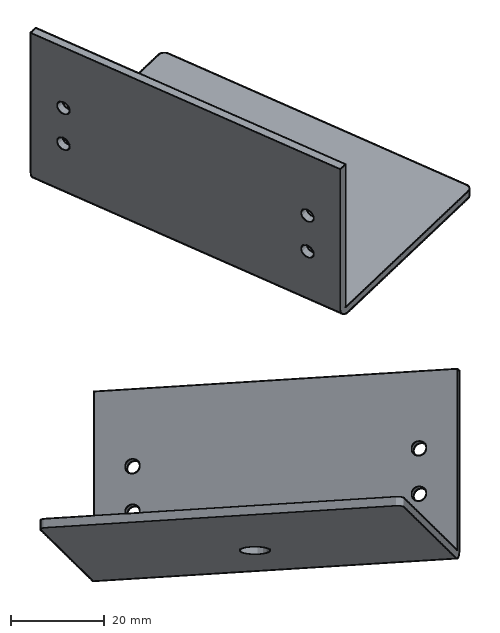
import cadquery as cq

length = 80.0
depth = 50.0
height = 42.0
sheet = 2.0

bend_radius = 3.0
corner_radius = 1.5

mount_diameter = 3.2
mount_spacing_x = 63.0
mount_spacing_z = 10.0
mount_center_z = 20.0

base_hole_diameter = 6.5
base_hole_y = 20.0


def angle_blank():
    """L-shaped sheet with a rounded outer bend and a sharp inner corner."""
    base = cq.Workplane("XY").box(length, depth, sheet, centered=(True, False, False))
    upright = cq.Workplane("XY").box(length, sheet, height, centered=(True, False, False))
    blank = base.union(upright)
    blank = blank.edges("|X and <Y and <Z").fillet(bend_radius)
    return blank.edges("|Z and >Y").fillet(corner_radius)


def mount_holes():
    """Four cutters through the upright flange."""
    return (
        cq.Workplane("XZ", origin=(0, 0, mount_center_z))
        .rarray(mount_spacing_x, mount_spacing_z, 2, 2)
        .circle(mount_diameter / 2)
        .extrude(-sheet)
    )


def base_hole():
    """Cutter through the base flange."""
    return (
        cq.Workplane("XY")
        .center(0, base_hole_y)
        .circle(base_hole_diameter / 2)
        .extrude(sheet)
    )


result = angle_blank().cut(mount_holes()).cut(base_hole())